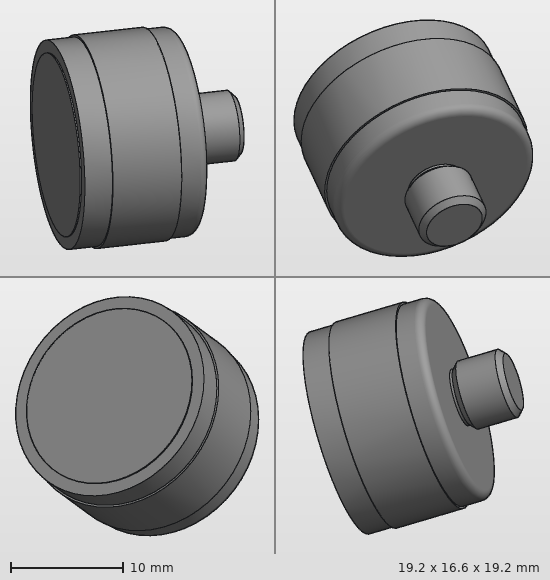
import cadquery as cq

body_diameter = 18.8
body_length = 11.43
back_edge_radius = 0.762

band_diameter = 19.18
band_start = 2.54
band_length = 6.35

disc_diameter = 16.51
disc_height = 0.13

insert_margin = 0.127
insert_diameter = disc_diameter + 2 * insert_margin
insert_depth = band_start

stud_diameter = 6.35
stud_length = 5.08
neck_diameter = 5.26
neck_length = 0.24
stud_chamfer = (stud_diameter - neck_diameter) / 2


def cylinder(diameter, start, length):
    """Solid cylinder along +Y beginning at Y = start."""
    plane = cq.Workplane("XZ", origin=(0, start, 0))
    return plane.circle(diameter / 2).extrude(-length)


def make_body():
    core = cylinder(body_diameter, 0, body_length)
    core = core.faces(">Y").edges().fillet(back_edge_radius)
    return core.union(cylinder(band_diameter, band_start, band_length))


def make_stud():
    neck = cylinder(neck_diameter, body_length, neck_length)
    shank = cylinder(stud_diameter, body_length + neck_length, stud_length - neck_length)
    shank = shank.faces("<Y or >Y").edges().chamfer(stud_chamfer)
    return neck.union(shank)


def fit_insert(body):
    """Fill a front bore flush, keeping the round joint as a face boundary."""
    insert = cylinder(insert_diameter, 0, insert_depth)
    return body.cut(insert).union(insert, clean=False)


def make_disc():
    return cylinder(disc_diameter, -disc_height, disc_height)


housing = make_body().union(make_stud())
result = fit_insert(housing).union(make_disc(), clean=False)